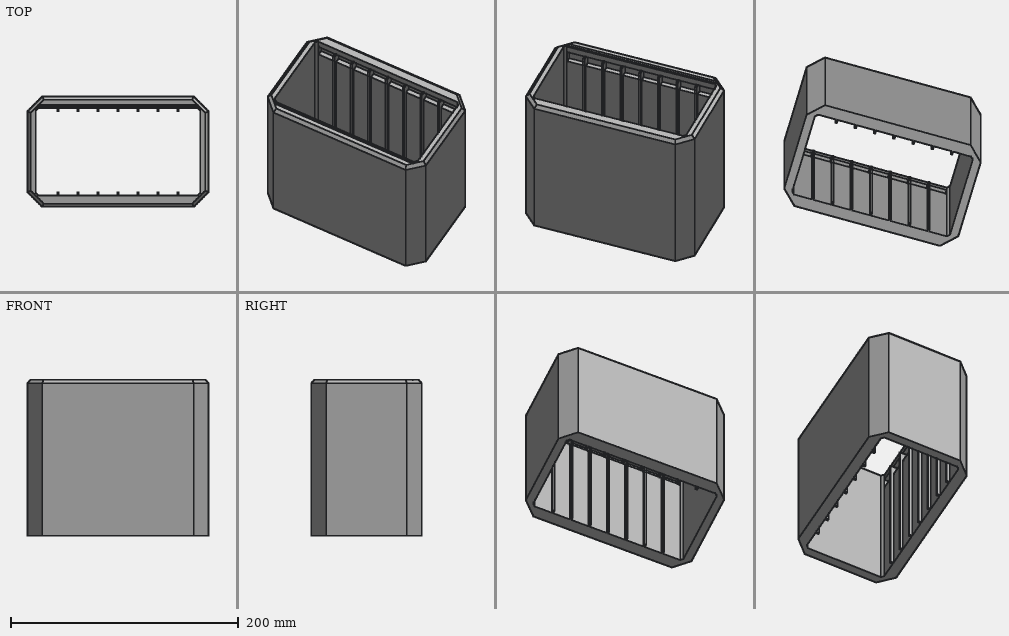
import cadquery as cq

length = 159.0
width = 97.0
height = 137.0
corner_cut = 13.0
rim_chamfer = 3.0

end_wall = 7.5
side_wall = 10.2
cavity_corner_cut = 2.2
cavity_length = length - 2 * end_wall
cavity_width = width - 2 * side_wall
side_wall_y = cavity_width / 2

step_depth = 1.03
step_slope_run = 1.3
step_floor_length = 137.5
step_floor_width = 1.7

recess_top = 129.9
recess_bottom = 119.4
recess_depth = 4.5
recess_length = 139.0

rib_count = 7
rib_width = 1.6
rib_height = 2.9
rib_top_chamfer = 0.55
rib_pitch = (recess_length + rib_width) / (rib_count + 1)


def octagonal_prism(size_x, size_y, cut):
    """Full-height box with its four vertical edges cut at 45 degrees."""
    return (
        cq.Workplane("XY")
        .box(size_x, size_y, height, centered=(True, True, False))
        .edges("|Z")
        .chamfer(cut)
    )


def rim_step():
    """Tapered cutter whose floor starts at the +Y wall and reaches into the cavity."""
    floor_back_y = side_wall_y + step_floor_width
    cutter_width = 2 * step_floor_width + 2 * step_slope_run
    top_length = step_floor_length + 2 * step_slope_run
    return (
        cq.Workplane("XY")
        .workplane(offset=height - step_depth)
        .center(0, floor_back_y - cutter_width / 2)
        .rect(step_floor_length, cutter_width)
        .workplane(offset=step_depth)
        .rect(top_length, cutter_width + 2 * step_slope_run)
        .loft(ruled=True)
    )


def wall_recess():
    """Long horizontal slot cutter for the +Y wall."""
    return (
        cq.Workplane("XY")
        .box(recess_length, recess_depth, recess_top - recess_bottom, centered=(True, False, False))
        .translate((0, side_wall_y, recess_bottom))
    )


def rib(x):
    """Upright rib with chamfered top edges, running from the recess back into the cavity."""
    return (
        cq.Workplane("XY")
        .box(rib_width, recess_depth + rib_height, recess_top, centered=(True, False, False))
        .faces(">Z")
        .edges("|Y")
        .chamfer(rib_top_chamfer)
        .translate((x, side_wall_y - rib_height, 0))
    )


result = octagonal_prism(length, width, corner_cut).faces(">Z").chamfer(rim_chamfer)
result = result.cut(octagonal_prism(cavity_length, cavity_width, cavity_corner_cut))
result = result.cut(rim_step())

recess = wall_recess()
result = result.cut(recess).cut(recess.mirror("XZ"))

for index in range(rib_count):
    upright = rib((index - (rib_count - 1) / 2) * rib_pitch)
    result = result.union(upright).union(upright.mirror("XZ"))